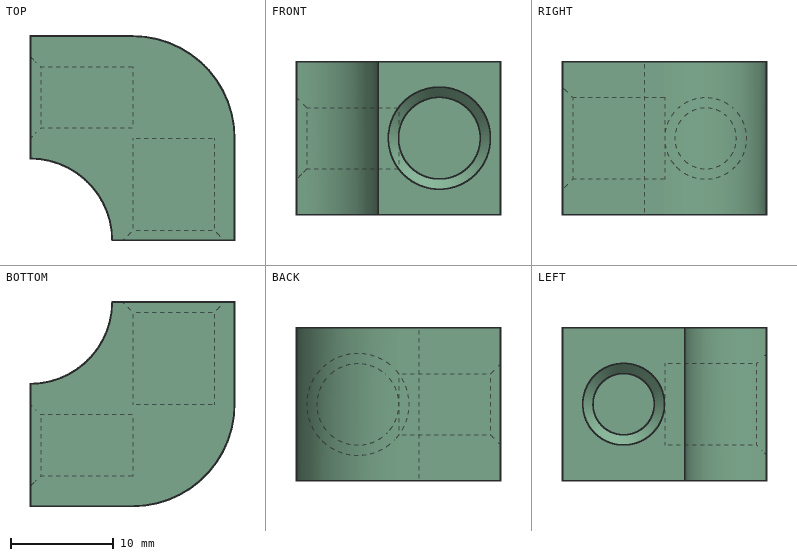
import cadquery as cq

side = 20.0
height = 15.0
inner_radius = 8.0
outer_radius = 10.0

front_diameter = 8.0
left_diameter = 6.0
socket_depth = 10.0
countersink = 1.0

arm_center = (inner_radius + side) / 2
mid_height = height / 2


def socket(diameter, origin, direction):
    """Blind round hole with a conical mouth, to be cut from the block."""
    radius = diameter / 2
    start = cq.Vector(*origin)
    axis = cq.Vector(*direction)
    bore = cq.Solid.makeCylinder(radius, socket_depth, start, axis)
    mouth = cq.Solid.makeCone(radius + countersink, radius, countersink, start, axis)
    return bore.fuse(mouth)


block = (
    cq.Workplane("XY")
    .rect(side, side, centered=False)
    .extrude(height)
    .edges("|Z and >X and >Y")
    .fillet(outer_radius)
)
inner_scoop = cq.Workplane("XY").circle(inner_radius).extrude(height)

front_socket = socket(front_diameter, (arm_center, 0, mid_height), (0, 1, 0))
left_socket = socket(left_diameter, (0, arm_center, mid_height), (1, 0, 0))

result = block.cut(inner_scoop).cut(front_socket).cut(left_socket)